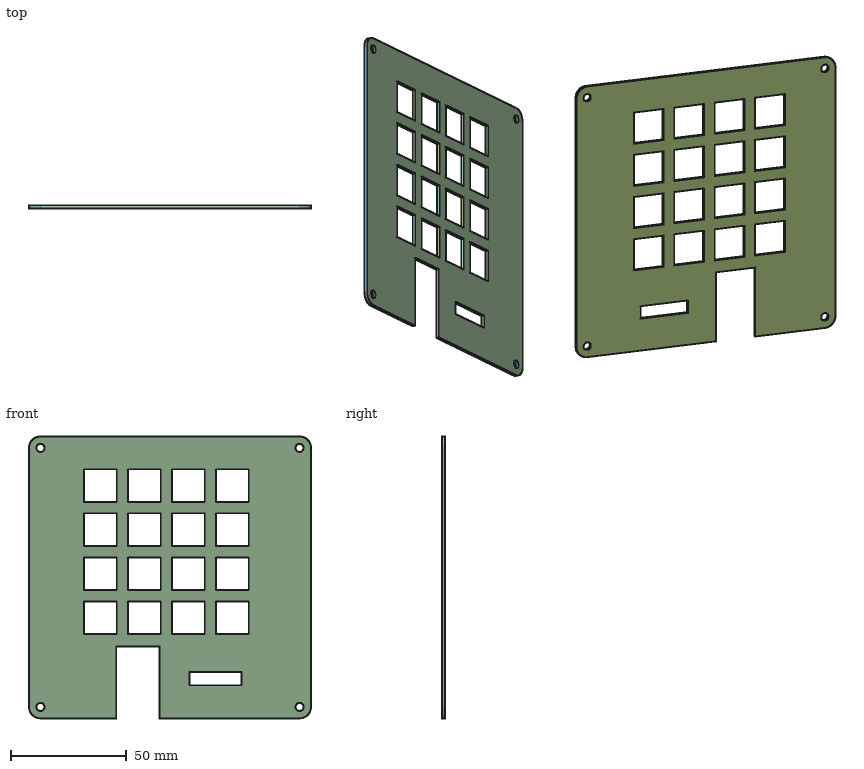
import cadquery as cq

plate_size = 122.1
plate_thickness = 1.5
corner_radius = 5.0

screw_hole_diameter = 3.4
screw_hole_spacing = plate_size - 2 * corner_radius

keys_per_side = 4
key_pitch = 19.0
key_opening = 14.0
key_grid_center_x = -1.6
key_grid_center_z = 11.1

notch_left_x = -23.2
notch_width = 18.6
notch_depth = 31.1

window_width = 22.3
window_height = 5.6
window_center_x = 19.7
window_center_z = -43.8


def rectangular_cutter(width, height, center_x, center_z):
    """Block as deep as the plate is thick, placed by its center."""
    return cq.Workplane("XY").box(width, plate_thickness, height).translate((center_x, 0, center_z))


def make_plate():
    plate = cq.Workplane("XY").box(plate_size, plate_thickness, plate_size)
    return plate.edges("|Y").fillet(corner_radius)


def cut_screw_holes(plate):
    return (
        plate.faces("<Y")
        .workplane(origin=(0, 0, 0))
        .rect(screw_hole_spacing, screw_hole_spacing, forConstruction=True)
        .vertices()
        .hole(screw_hole_diameter)
    )


def cut_key_openings(plate):
    middle_index = (keys_per_side - 1) / 2
    for column in range(keys_per_side):
        for row in range(keys_per_side):
            center_x = key_grid_center_x + (column - middle_index) * key_pitch
            center_z = key_grid_center_z + (row - middle_index) * key_pitch
            plate = plate.cut(rectangular_cutter(key_opening, key_opening, center_x, center_z))
    return plate


def cut_notch(plate):
    center_x = notch_left_x + notch_width / 2
    center_z = (notch_depth - plate_size) / 2
    return plate.cut(rectangular_cutter(notch_width, notch_depth, center_x, center_z))


def cut_window(plate):
    return plate.cut(rectangular_cutter(window_width, window_height, window_center_x, window_center_z))


result = make_plate()
result = cut_screw_holes(result)
result = cut_key_openings(result)
result = cut_notch(result)
result = cut_window(result)